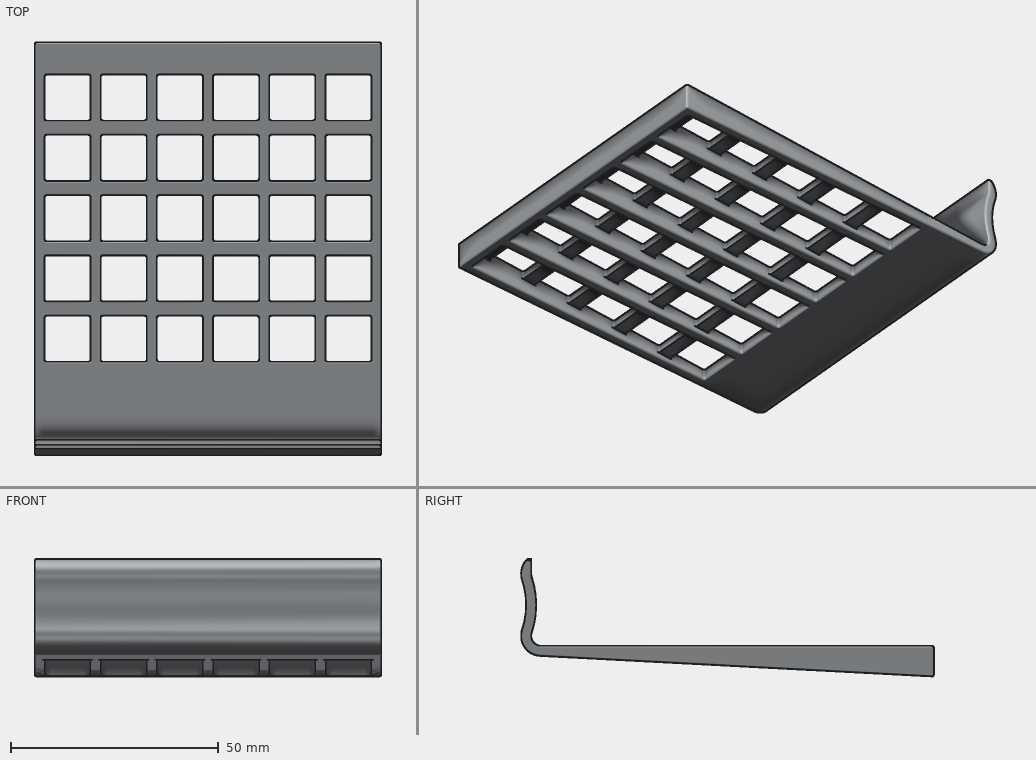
import cadquery as cq
import math

width = 83.5
length = 99.5
height = 28.4
y_front = -length / 2
y_back = length / 2

wall = 2.5
underside_angle = math.radians(3.0)
bulge_radius = 4.9
waist_radius = 18.7
bulge_spacing = 14.9
edge_fillet = 0.5

columns = 6
rows = 5
column_pitch = 13.5
row_pitch = 14.5
first_row_y = -21.7
window = 11.0
window_corner = 0.5
rim_fillet = 0.5
back_wall = 2.5

inner_radius = bulge_radius - wall
bulge_y = y_front + bulge_radius
tangent_y = bulge_y - bulge_radius * math.sin(underside_angle)
tangent_z = (y_back - tangent_y) * math.tan(underside_angle)
bend_z = tangent_z + bulge_radius * math.cos(underside_angle)
plate_top = bend_z - inner_radius


def polar(center, radius, angle):
    """Point in the YZ plane; angle 0 points along +Y."""
    return (center[0] + radius * math.cos(angle), center[1] + radius * math.sin(angle))


def make_body():
    """Constant side profile: wedge plate, bend and wavy lip."""
    bend = (bulge_y, bend_z)
    bulge = (bulge_y, bend_z + bulge_spacing)

    center_distance = bulge_radius + waist_radius
    waist_angle = math.asin(bulge_spacing / 2 / center_distance)
    waist = (
        bulge_y - center_distance * math.cos(waist_angle),
        bend_z + bulge_spacing / 2,
    )
    inner_waist_radius = waist_radius + wall

    down = 1.5 * math.pi
    underside = down - underside_angle
    waist_low = math.pi - waist_angle
    waist_high = math.pi + waist_angle
    tip = math.pi - math.asin((height - bulge[1]) / bulge_radius)

    profile = (
        cq.Workplane("YZ")
        .moveTo(y_back, 0)
        .lineTo(tangent_y, tangent_z)
        .threePointArc(
            polar(bend, bulge_radius, (underside + waist_low) / 2),
            polar(bend, bulge_radius, waist_low),
        )
        .threePointArc(
            polar(waist, waist_radius, 0),
            polar(bulge, bulge_radius, waist_high),
        )
        .threePointArc(
            polar(bulge, bulge_radius, (waist_high + tip) / 2),
            polar(bulge, bulge_radius, tip),
        )
        .lineTo(bulge_y - inner_radius, height)
        .lineTo(bulge_y - inner_radius, bulge[1])
        .threePointArc(
            polar(bulge, inner_radius, (math.pi + waist_high) / 2),
            polar(bulge, inner_radius, waist_high),
        )
        .threePointArc(
            polar(waist, inner_waist_radius, 0),
            polar(bend, inner_radius, waist_low),
        )
        .threePointArc(
            polar(bend, inner_radius, (waist_low + down) / 2),
            polar(bend, inner_radius, down),
        )
        .lineTo(y_back, plate_top)
        .close()
    )
    body = profile.extrude(width / 2, both=True)
    return body.faces("<X or >X or >Y").fillet(edge_fillet)


def rounded_block(size_y, bottom, top):
    """Upright block, one window wide, with rounded vertical edges."""
    block = cq.Workplane("XY", origin=(0, 0, bottom)).rect(window, size_y).extrude(top - bottom)
    return block.edges("|Z").fillet(window_corner)


def round_rims(body, side):
    """Round the rims of the openings in the upper (side = 1) or lower (side = -1) face of the plate."""
    outside = [face for face in body.faces().vals() if face.normalAt().z * side > 0.9]
    plate_face = max(outside, key=lambda face: face.Area())
    rims = [edge for wire in plate_face.innerWires() for edge in wire.Edges()]
    return body.newObject(rims).fillet(rim_fillet)


def cut_openings(body):
    """Through windows in the plate skin and one open channel under each column."""
    ceiling = plate_top - wall
    channel_front = first_row_y - window / 2
    channel_length = y_back - back_wall - channel_front
    channel_shape = rounded_block(channel_length, 0, ceiling)
    window_shape = rounded_block(window, 0, height)
    for column in range(columns):
        x = (column - (columns - 1) / 2) * column_pitch
        body = body.cut(channel_shape.translate((x, channel_front + channel_length / 2, 0)))
        for row in range(rows):
            body = body.cut(window_shape.translate((x, first_row_y + row * row_pitch, 0)))
    body = round_rims(body, 1)
    return round_rims(body, -1)


result = cut_openings(make_body())